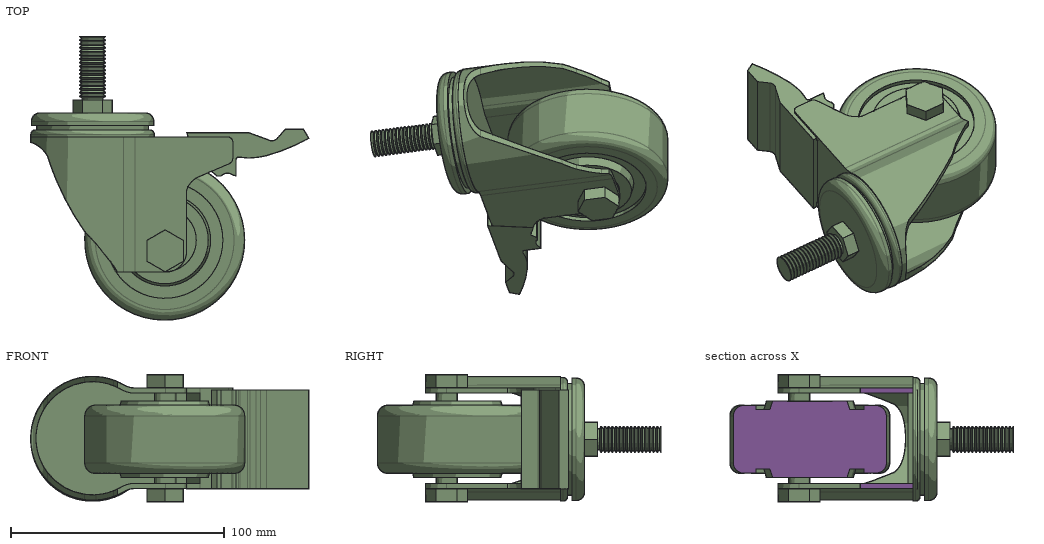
import cadquery as cq
import math


wheel_x = 33.8
wheel_y = -48.4
wheel_radius = 37.5
wheel_half_width = 16.0
wheel_edge_radius = 5.0
wheel_recess_radius = 54.5 / 2
wheel_recess_depth = 2.0
hub_half_width = 18.0
hub_face_radius = 20.4
hub_base_radius = 21.5
bearing_radius = 29.6 / 2
bearing_inset = 0.1

axle_x = 34.0
axle_y = -53.4
axle_radius = 5.0
axle_corner_radius = 10.0
bolt_head_flats = 17.0
bolt_head_height = 6.0
bolt_half_length = 29.75

fork_z = 0.5
fork_sheet = 2.5
fork_radius = 29.0
fork_cheek_z = 23.6
fork_bend_x = 20.0
fork_back_x = 44.1
fork_bottom_y = axle_y - axle_corner_radius
fork_ear_x = 65.7
fork_ear_corner_radius = 2.5
fork_ear_lower_radius = 3.0
fork_ear_side_end_y = -10.2

ear_slope_low = (50.3, -18.5)
ear_slope_high = (63.8, -12.7)
ear_hollow_end = (fork_back_x, -25.0)
ear_hollow_radius = 10.0

fork_tip_corner = (11.8, fork_bottom_y)
fork_tip_chamfer = (9.8, -60.3)
fork_edge_bend = (1.6, -50.0)
fork_sweep_low = (-3.8, -44.3)
fork_sweep_middle = (-13.7, -27.5)
fork_sweep_high = (-21.2, -8.9)
fork_throat_middle = (-25.0, -4.6)
fork_throat_end = (-fork_radius, -2.6)

flange_top_y = 3.3
flange_rounding = 2.3
groove_radius = 52.49 / 2
cap_radius = 57.5 / 2
cap_bottom_y = 5.2
cap_top_y = 11.25
cap_rounding = 4.1

nut_flats = 16.0
nut_height = 6.0
stem_top_y = 47.08
stem_radius = 6.1
stem_root_radius = 5.0
thread_pitch = 1.75
thread_count = 17
thread_crest = 0.2

lever_half_width = 23.2
lever_top_y = 2.0
lever_pad_top_y = 3.6
lever_pad_x = (90.3, 98.8)
lever_tip = (101.33, -0.7)

valley_start_x = 73.1
valley_round_start = (82.4, -1.4)
valley_round_middle = (84.6, -1.75)
valley_round_end = (86.4, -0.8)

sweep_middle = (88.8, -6.5)
sweep_end = (81.4, -8.9)
underside_corners = ((78.6, -9.45), (76.6, -9.75), (73.8, -9.95), (72.5, -9.95), (69.0, -9.6))

pad_back_x = 67.3
pad_root_radius = 1.0
pad_bottom_y = -18.4
pad_hollow_start = (65.7, -17.9)
pad_hollow_middle = (63.3, -17.1)
pad_hollow_end_x = 60.2
pad_front_x = 58.3
pad_slope_x = 55.7


hexagon_half_step = 180 / 6


def hexagon_circle(flats):
    """Diameter of the circle through the corners of a hexagon."""
    return flats / math.cos(math.radians(hexagon_half_step))


def revolve_about_y(profile):
    """Close and turn a radius-height profile about the Y axis."""
    return profile.close().revolve(360, (0, 0, 0), (0, 1, 0))


def make_wheel():
    profile = (
        cq.Workplane("XZ")
        .moveTo(0, 0)
        .lineTo(wheel_radius, 0)
        .lineTo(wheel_radius, wheel_half_width - wheel_edge_radius)
        .radiusArc((wheel_radius - wheel_edge_radius, wheel_half_width), -wheel_edge_radius)
        .lineTo(wheel_recess_radius, wheel_half_width)
        .lineTo(wheel_recess_radius, wheel_half_width - wheel_recess_depth)
        .lineTo(hub_base_radius, wheel_half_width - wheel_recess_depth)
        .lineTo(hub_face_radius, hub_half_width)
        .lineTo(bearing_radius, hub_half_width)
        .lineTo(bearing_radius, hub_half_width - bearing_inset)
        .lineTo(0, hub_half_width - bearing_inset)
        .close()
    )
    half = profile.revolve(360, (0, 0, 0), (0, 1, 0))
    return half.union(half.mirror("XY")).translate((wheel_x, wheel_y, 0))


def fork_section(inset, height):
    """Solid inside the bent sheet: a round front blending into two flat cheeks."""
    radius = fork_radius - inset
    cheek = fork_cheek_z - inset
    outer_bend = (fork_bend_x**2 + fork_cheek_z**2 - fork_radius**2) / (2 * (fork_radius - fork_cheek_z))
    bend = outer_bend + inset
    bend_z = cheek + bend
    ratio = radius / (radius + bend)
    tangent_x = fork_bend_x * ratio
    tangent_z = bend_z * ratio
    return (
        cq.Workplane("XZ")
        .moveTo(fork_ear_x, cheek)
        .lineTo(fork_bend_x, cheek)
        .radiusArc((tangent_x, tangent_z), bend)
        .threePointArc((-radius, 0), (tangent_x, -tangent_z))
        .radiusArc((fork_bend_x, -cheek), bend)
        .lineTo(fork_ear_x, -cheek)
        .close()
        .extrude(height)
    )


def fork_side():
    """Side outline of the fork, carried through its full width."""
    return (
        cq.Workplane("XY")
        .moveTo(-fork_radius, 0)
        .lineTo(fork_ear_x - fork_ear_corner_radius, 0)
        .radiusArc((fork_ear_x, -fork_ear_corner_radius), fork_ear_corner_radius)
        .lineTo(fork_ear_x, fork_ear_side_end_y)
        .radiusArc(ear_slope_high, fork_ear_lower_radius)
        .lineTo(*ear_slope_low)
        .radiusArc(ear_hollow_end, -ear_hollow_radius)
        .lineTo(fork_back_x, axle_y)
        .radiusArc((fork_back_x - axle_corner_radius, fork_bottom_y), axle_corner_radius)
        .lineTo(*fork_tip_corner)
        .lineTo(*fork_tip_chamfer)
        .lineTo(*fork_edge_bend)
        .lineTo(*fork_sweep_low)
        .threePointArc(fork_sweep_middle, fork_sweep_high)
        .threePointArc(fork_throat_middle, fork_throat_end)
        .close()
        .extrude(fork_radius, both=True)
    )


def make_fork():
    height = -fork_bottom_y
    outside = fork_section(0, height)
    inside = fork_section(fork_sheet, height)
    top_slab = (
        cq.Workplane("XY", origin=(-fork_radius, -fork_sheet, 0))
        .rect(fork_radius + fork_back_x, fork_sheet, centered=False)
        .extrude(fork_radius, both=True)
    )
    sheet = outside.cut(inside).union(outside.intersect(top_slab))
    return sheet.intersect(fork_side()).translate((0, 0, fork_z))


def make_axle():
    center = cq.Workplane("XY").center(axle_x, axle_y)
    axle = center.circle(axle_radius).extrude(bolt_half_length, both=True)
    for side in (-1, 1):
        head = (
            center.polygon(6, hexagon_circle(bolt_head_flats))
            .extrude(-side * bolt_head_height)
            .rotate((axle_x, axle_y, 0), (axle_x, axle_y, 1), hexagon_half_step)
            .translate((0, 0, side * bolt_half_length))
        )
        axle = axle.union(head)
    return axle.translate((0, 0, fork_z))


def make_swivel():
    profile = (
        cq.Workplane("XY")
        .moveTo(0, -fork_sheet / 2)
        .lineTo(groove_radius, -fork_sheet / 2)
        .lineTo(groove_radius, 0)
        .lineTo(fork_radius, 0)
        .lineTo(fork_radius, flange_top_y - flange_rounding)
        .radiusArc((fork_radius - flange_rounding, flange_top_y), -flange_rounding)
        .lineTo(groove_radius, flange_top_y)
        .lineTo(groove_radius, cap_bottom_y)
        .lineTo(cap_radius, cap_bottom_y)
        .lineTo(cap_radius, cap_top_y - cap_rounding)
        .radiusArc((cap_radius - cap_rounding, cap_top_y), -cap_rounding)
        .lineTo(0, cap_top_y)
    )
    return revolve_about_y(profile)


def make_stem():
    nut_top_y = cap_top_y + nut_height
    nut = (
        cq.Workplane("XZ", origin=(0, nut_top_y, 0))
        .polygon(6, hexagon_circle(nut_flats))
        .extrude(nut_height)
    )
    profile = cq.Workplane("XY").moveTo(0, stem_top_y)
    for turn in range(thread_count):
        crest_y = stem_top_y - turn * thread_pitch
        profile = (
            profile.lineTo(stem_radius, crest_y)
            .lineTo(stem_radius, crest_y - thread_crest)
            .lineTo(stem_root_radius, crest_y - thread_pitch / 2)
        )
    profile = profile.lineTo(stem_root_radius, cap_top_y).lineTo(0, cap_top_y)
    return nut.union(revolve_about_y(profile))


def make_lever():
    slope_run = ear_slope_high[0] - ear_slope_low[0]
    slope_rise = ear_slope_high[1] - ear_slope_low[1]
    pad_slope_y = ear_slope_low[1] + (pad_slope_x - ear_slope_low[0]) * slope_rise / slope_run
    pad_root_y = underside_corners[-1][1]
    outline = (
        cq.Workplane("XY")
        .moveTo(fork_back_x, lever_top_y)
        .lineTo(valley_start_x, lever_top_y)
        .lineTo(*valley_round_start)
        .threePointArc(valley_round_middle, valley_round_end)
        .lineTo(lever_pad_x[0], lever_pad_top_y)
        .lineTo(lever_pad_x[1], lever_pad_top_y)
        .lineTo(*lever_tip)
        .threePointArc(sweep_middle, sweep_end)
    )
    for point in underside_corners:
        outline = outline.lineTo(*point)
    return (
        outline.lineTo(pad_back_x + pad_root_radius, pad_root_y)
        .radiusArc((pad_back_x, pad_root_y - pad_root_radius), -pad_root_radius)
        .lineTo(pad_back_x, pad_bottom_y)
        .lineTo(*pad_hollow_start)
        .threePointArc(pad_hollow_middle, (pad_hollow_end_x, pad_bottom_y))
        .lineTo(pad_front_x, pad_bottom_y)
        .lineTo(pad_slope_x, pad_slope_y)
        .lineTo(*ear_slope_low)
        .close()
        .extrude(lever_half_width, both=True)
    )


result = (
    make_fork()
    .union(make_swivel())
    .union(make_stem())
    .union(make_axle())
    .union(make_wheel())
    .union(make_lever())
)